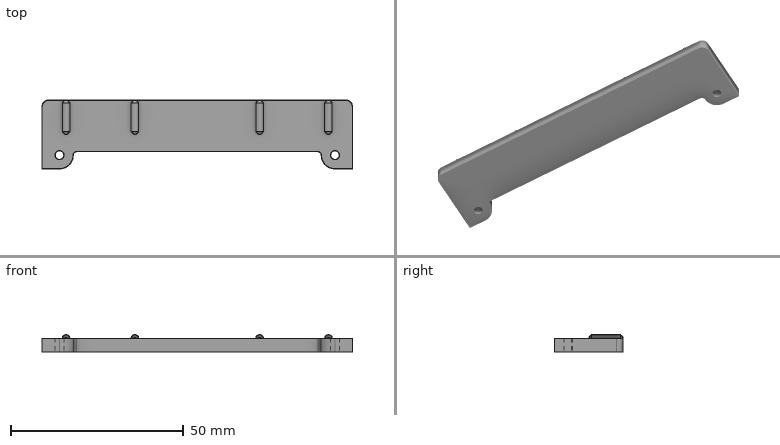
import cadquery as cq

length = 90.2
depth = 20.0
thickness = 4.0
back_corner_radius = 2.0

foot_height = 5.0
foot_width = 9.1
foot_radius = 4.0
recess_fillet = 1.0

hole_diameter = 2.5
hole_x = length / 2 - foot_width + foot_radius
hole_y = -depth / 2 + foot_radius

pin_radius = 1.1
pin_length = 10.0
pin_chamfer = 0.8
pin_pitch = 20.0
pin_end_offset = 7.0


def make_plate():
    """Plate with a recessed front edge and a rounded foot at each end."""
    front_y = -depth / 2
    back_y = depth / 2
    end_x = length / 2
    foot_inner_x = end_x - foot_width
    fillet_start_y = front_y + foot_height - recess_fillet
    fillet_end_x = foot_inner_x - recess_fillet
    right_half = (
        cq.Workplane("XY")
        .moveTo(0, front_y + foot_height)
        .lineTo(fillet_end_x, front_y + foot_height)
        .radiusArc((foot_inner_x, fillet_start_y), recess_fillet)
        .radiusArc((foot_inner_x + foot_radius, front_y), -foot_radius)
        .lineTo(end_x, front_y)
        .lineTo(end_x, back_y)
        .lineTo(0, back_y)
        .close()
        .extrude(thickness)
        .edges("|Z and >X and >Y")
        .fillet(back_corner_radius)
    )
    return right_half.union(right_half.mirror("YZ")).clean()


def make_holes():
    """Cutters for the two through holes in the feet."""
    return (
        cq.Workplane("XY")
        .pushPoints([(-hole_x, hole_y), (hole_x, hole_y)])
        .circle(hole_diameter / 2)
        .extrude(thickness)
    )


def make_pin(x):
    """Round pin chamfered at both ends, running forward from the back edge."""
    return (
        cq.Workplane("XZ", origin=(x, depth / 2, thickness))
        .circle(pin_radius)
        .extrude(pin_length)
        .edges("%CIRCLE")
        .chamfer(pin_chamfer)
    )


result = make_plate().cut(make_holes())

outer_pin_x = length / 2 - pin_end_offset
inner_pin_x = outer_pin_x - pin_pitch
for pin_x in (-outer_pin_x, -inner_pin_x, inner_pin_x, outer_pin_x):
    result = result.union(make_pin(pin_x))